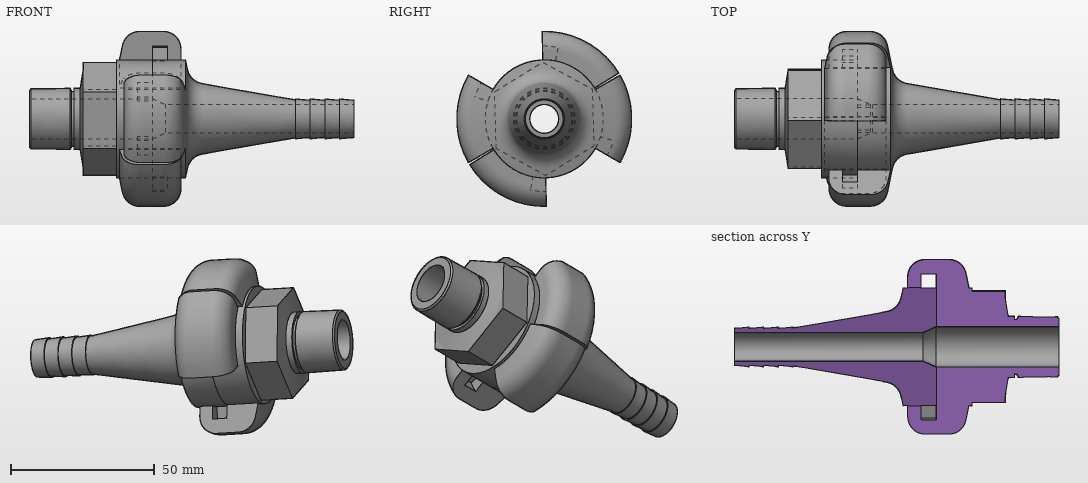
import cadquery as cq
import math


MAIN_BORE_R = 7.0
HOSE_BORE_R = 5.0
BORE_TAPER_LENGTH = 4.5

RING_R = 20.6
BACK_ANGLE = 11.5
BACK_X = 11.5

CLAW_R = 30.5
CLAW_CORNER_R = 6.2
CLAW_TOP_BACK_X = -4.4
CLAW_TOP_FRONT_X = 3.7
CLAW_SPAN = 60.0
CLAWS_PER_HALF = 2

SLOT_WIDTH = 5.2
SLOT_R = 25.3
SLOT_SPAN = 12.5

HOSE_CLAW_ANGLE = 0.0
THREAD_CLAW_ANGLE = 61.5

FLANGE_BACK_X = -12.5
HEX_SIDES = 6
HEX_ACROSS_FLATS = 34.1
HEX_END_X = -24.2
HEX_CHAMFER_X = -25.2
COLLAR_R = 10.7
COLLAR_END_X = -27.3
GROOVE_R = 9.6
THREAD_START_X = -28.7
THREAD_R = 10.7
THREAD_TIP_R = 10.5
THREAD_TIP_X = -42.8
THREAD_CHAMFER = 0.6

FILLET_START_R = 17.2
NECK_START_X = 17.4
NECK_START_R = 12.3
NECK_END_R = 6.7
BARB_R = 7.0
BARB_END_R = 6.5
BARB_COUNT = 4
BARB_PITCH = 5.1
TAIL_END_X = 70.2
BARBS_START_X = TAIL_END_X - BARB_COUNT * BARB_PITCH

BACK_TAN = math.tan(math.radians(BACK_ANGLE))


def revolve_about_x(profile):
    """Turn a closed XY profile, with Y as radius, fully around the X axis."""
    return profile.close().revolve(360, (0, 0, 0), (1, 0, 0))


def revolve_sector(profile, start_angle, span):
    """Turn a closed XY profile about X, from start_angle through span degrees."""
    sector = profile.close().revolve(span, (0, 0, 0), (1, 0, 0))
    return sector.rotate((0, 0, 0), (1, 0, 0), start_angle)


def corner_point(center_x, angle):
    """Point on a rounded claw corner, at an angle in degrees from +X toward the claw top."""
    turn = math.radians(angle)
    return (
        center_x + CLAW_CORNER_R * math.cos(turn),
        CLAW_R - CLAW_CORNER_R + CLAW_CORNER_R * math.sin(turn),
    )


def claw(angle):
    """One claw that leans toward +X, centred on the given angle about X."""
    back_start = 180 - BACK_ANGLE
    back_middle = (back_start + 90) / 2
    profile = (
        cq.Workplane("XY")
        .moveTo(-BACK_X, RING_R)
        .lineTo(*corner_point(CLAW_TOP_BACK_X, back_start))
        .threePointArc(corner_point(CLAW_TOP_BACK_X, back_middle), (CLAW_TOP_BACK_X, CLAW_R))
        .lineTo(CLAW_TOP_FRONT_X, CLAW_R)
        .threePointArc(corner_point(CLAW_TOP_FRONT_X, 45), corner_point(CLAW_TOP_FRONT_X, 0))
        .lineTo(CLAW_TOP_FRONT_X + CLAW_CORNER_R, RING_R)
    )
    slot_profile = (
        cq.Workplane("XY")
        .moveTo(0, RING_R)
        .lineTo(0, SLOT_R)
        .lineTo(SLOT_WIDTH, SLOT_R)
        .lineTo(SLOT_WIDTH, RING_R)
    )
    lead_angle = angle + CLAW_SPAN / 2
    body = revolve_sector(profile, angle - CLAW_SPAN / 2, CLAW_SPAN)
    slot = revolve_sector(slot_profile, lead_angle - SLOT_SPAN, SLOT_SPAN)
    return body.cut(slot)


def claws_of_half(first_angle):
    """The evenly spaced claws of one half, all leaning toward +X."""
    return [claw(first_angle + index * 360 / CLAWS_PER_HALF) for index in range(CLAWS_PER_HALF)]


def hex_section():
    """Hexagon with a conical lead-in that shrinks to the collar."""
    flats_r = HEX_ACROSS_FLATS / 2
    prism = (
        cq.Workplane("YZ", origin=(HEX_END_X, 0, 0))
        .polygon(HEX_SIDES, HEX_ACROSS_FLATS, circumscribed=True)
        .extrude(FLANGE_BACK_X - HEX_END_X)
        .rotate((0, 0, 0), (1, 0, 0), THREAD_CLAW_ANGLE)
    )
    cone = revolve_about_x(
        cq.Workplane("XY")
        .moveTo(HEX_END_X, 0)
        .lineTo(HEX_END_X, flats_r)
        .lineTo(HEX_CHAMFER_X, COLLAR_R)
        .lineTo(HEX_CHAMFER_X, 0)
    )
    return prism.union(cone)


def thread_section():
    """Collar, undercut groove and tapered thread, in one turned profile."""
    return revolve_about_x(
        cq.Workplane("XY")
        .moveTo(HEX_CHAMFER_X, 0)
        .lineTo(HEX_CHAMFER_X, COLLAR_R)
        .lineTo(COLLAR_END_X, COLLAR_R)
        .lineTo(COLLAR_END_X, GROOVE_R)
        .lineTo(THREAD_START_X + THREAD_CHAMFER, GROOVE_R)
        .lineTo(THREAD_START_X, THREAD_R)
        .lineTo(THREAD_TIP_X + THREAD_CHAMFER, THREAD_TIP_R)
        .lineTo(THREAD_TIP_X, THREAD_TIP_R - THREAD_CHAMFER)
        .lineTo(THREAD_TIP_X, 0)
    )


def make_thread_half():
    """Ring with claws, hexagon and tapered thread, bored through."""
    ring = cq.Workplane("YZ", origin=(FLANGE_BACK_X, 0, 0)).circle(RING_R).extrude(-FLANGE_BACK_X)
    body = ring.union(hex_section()).union(thread_section())
    for thread_claw in claws_of_half(THREAD_CLAW_ANGLE):
        body = body.union(thread_claw)
    bore = cq.Workplane("YZ", origin=(THREAD_TIP_X, 0, 0)).circle(MAIN_BORE_R).extrude(-THREAD_TIP_X)
    return body.cut(bore)


def make_hose_half():
    """Ring with claws and a barbed hose tail whose bore narrows from the mating face."""
    fillet_start_x = BACK_X + (RING_R - FILLET_START_R) * BACK_TAN
    profile = (
        cq.Workplane("XY")
        .moveTo(0, MAIN_BORE_R)
        .lineTo(0, RING_R)
        .lineTo(BACK_X, RING_R)
        .lineTo(fillet_start_x, FILLET_START_R)
        .tangentArcPoint((NECK_START_X, NECK_START_R), relative=False)
        .lineTo(BARBS_START_X, NECK_END_R)
    )
    for index in range(BARB_COUNT):
        barb_x = BARBS_START_X + index * BARB_PITCH
        profile = profile.lineTo(barb_x, BARB_R).lineTo(barb_x + BARB_PITCH, BARB_END_R)
    profile = (
        profile
        .lineTo(TAIL_END_X, HOSE_BORE_R)
        .lineTo(BORE_TAPER_LENGTH, HOSE_BORE_R)
    )
    body = revolve_about_x(profile)
    for hose_claw in claws_of_half(HOSE_CLAW_ANGLE):
        body = body.union(hose_claw.rotate((0, 0, 0), (0, 0, 1), 180))
    return body


thread_half = make_thread_half()
hose_half = make_hose_half()

result = cq.Compound.makeCompound([thread_half.solids().val(), hose_half.solids().val()])